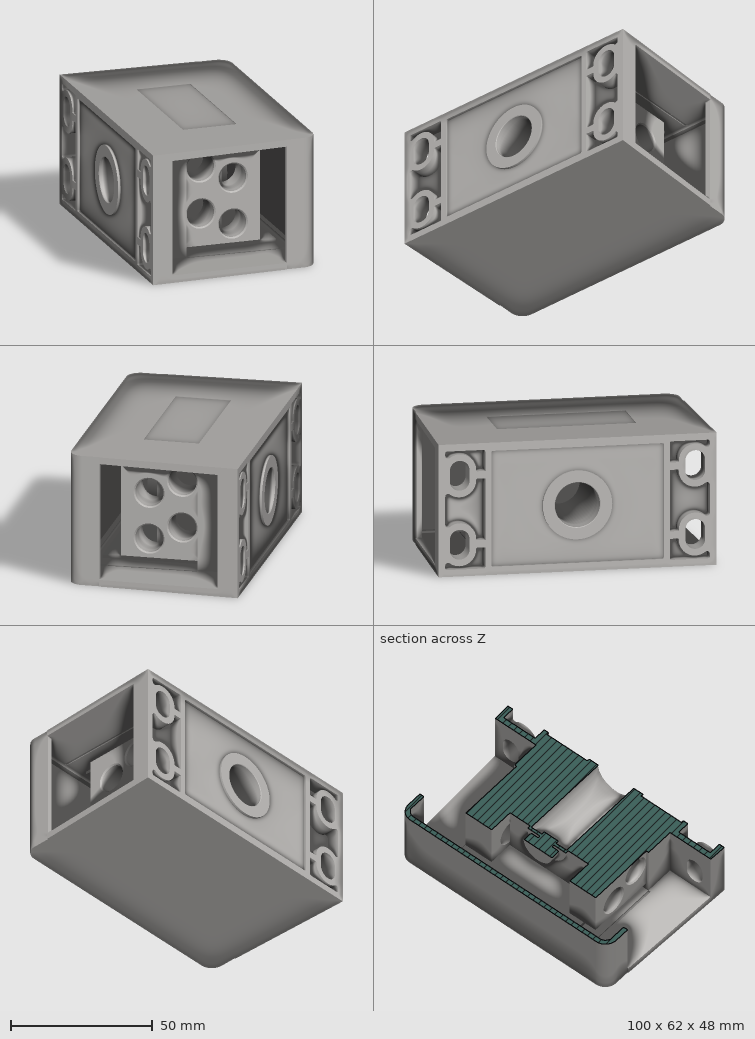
import cadquery as cq

LENGTH = 100.0
DEPTH = 62.0
HEIGHT = 48.0
FRONT_Y = -DEPTH / 2
BACK_Y = DEPTH / 2
CHAMFER_ANGLE = 45.0

COVER_HALF = 48.0
COVER_WALL = 2.0
COVER_RADIUS = 5.0
COVER_START_Y = 19.6
BODY_BACK_HALF = 48.3

WALL = 2.4
CHAMBER_HALF_HEIGHT = HEIGHT / 2 - WALL
END_FLOOR_Y = -23.7
END_FLOOR_HALF_HEIGHT = 21.2
COVER_LEDGE_Y = 27.2
COVER_LEDGE_RADIUS = 0.7
PEDESTAL_HALF = 31.0
PEDESTAL_Y = -11.9
GROOVE_WIDTH = 1.0
GROOVE_DEPTH = 0.3
GROOVE_END_Y = COVER_LEDGE_Y - COVER_LEDGE_RADIUS

WEDGE_HALF = 23.6
WEDGE_TOP_Y = 24.2
WEDGE_TOP_Z = 20.5

BLOCK_HALF = 30.0
BLOCK_HALF_HEIGHT = 18.0
BLOCK_TOP_Y = 15.9
PARTING_Y = 5.8
WIRE_DEPTH = 12.0
WIRE_RADIUS = 5.1
WIRE_CHAMFER = 0.5
WIRE_HOLES = [(PARTING_Y, 6.0), (PARTING_Y, -11.0), (-6.2, 11.0), (-6.2, -6.0)]

SEAT_RADIUS = 8.9
SEAT_HEIGHT = 1.3
SCREW_RADIUS = 3.3
SCREW_HEAD_RADIUS = 6.5
SCREW_HEAD_GAP = 0.8
SCREW_HEAD_CHAMFER = 0.4
SCREW_HEAD_HEIGHT = 4.0
ACCESS_RADIUS = 8.1
ACCESS_CHAMFER = 0.2

PANEL_LENGTH = 62.0
PANEL_HEIGHT = 42.0
PANEL_RADIUS = 0.6
PANEL_RECESS = 1.0
RING_RADIUS = 12.5

SLOT_X = 42.4
SLOT_Z = 12.5
SLOT_LENGTH = 10.8
SLOT_WIDTH = 7.1
SLOT_WALL = 2.4
POCKET_INNER_X = 33.2
POCKET_OUTER_X = 47.6
POCKET_HALF_HEIGHT = 21.5
POCKET_DEPTH = 5.0
POCKET_CORNER = 0.6
POCKET_BLEND = 1.0
WEB = 2.7
WEB_BLEND = 0.4
SELECT_MARGIN = 0.1

LABEL_LENGTH = 50.0
LABEL_WIDTH = 20.0
LABEL_Y = -1.1
LABEL_RECESS = 0.2


def block(half_length, y_start, y_end, half_height):
    """Box centred on X and Z, reaching from y_start to y_end."""
    return cq.Workplane("XY").box(
        2 * half_length, y_end - y_start, 2 * half_height
    ).translate((0, (y_start + y_end) / 2, 0))


def cylinder(radius, y_start, y_end):
    """Cylinder on the Y axis, reaching from y_start to y_end."""
    return cq.Workplane("XZ", origin=(0, y_start, 0)).circle(radius).extrude(y_start - y_end)


def front_plane():
    """Plane of the front face; a negative extrusion goes into the part."""
    return cq.Workplane("XZ", origin=(0, FRONT_Y, 0))


def make_housing():
    body = (
        cq.Workplane("XY", origin=(0, 0, -HEIGHT / 2))
        .polyline([
            (-LENGTH / 2, FRONT_Y),
            (LENGTH / 2, FRONT_Y),
            (BODY_BACK_HALF, COVER_START_Y),
            (-BODY_BACK_HALF, COVER_START_Y),
        ])
        .close()
        .extrude(HEIGHT)
    )
    cover = block(COVER_HALF, COVER_START_Y, BACK_Y, HEIGHT / 2)
    cover = cover.edges("|Z and >Y").fillet(COVER_RADIUS)
    return body.union(cover)


def make_chamber():
    """Space inside the housing: a drafted room, open at both ends, and the cover's inside."""
    cover_inner_half = COVER_HALF - COVER_WALL
    cover_space = block(
        cover_inner_half, COVER_START_Y, BACK_Y - COVER_WALL, CHAMBER_HALF_HEIGHT - COVER_LEDGE_RADIUS
    )
    cover_space = cover_space.edges("|Z and >Y").fillet(COVER_RADIUS - COVER_WALL)
    room = (
        cq.Workplane("YZ", origin=(-LENGTH / 2, 0, 0))
        .polyline([
            (END_FLOOR_Y, -END_FLOOR_HALF_HEIGHT),
            (COVER_LEDGE_Y, -CHAMBER_HALF_HEIGHT),
            (COVER_LEDGE_Y, CHAMBER_HALF_HEIGHT),
            (END_FLOOR_Y, END_FLOOR_HALF_HEIGHT),
        ])
        .close()
        .extrude(LENGTH)
        .edges("|X and >Y")
        .fillet(COVER_LEDGE_RADIUS)
    )
    open_reach = block(LENGTH / 2, END_FLOOR_Y, COVER_START_Y, HEIGHT / 2)
    cover_reach = block(cover_inner_half, END_FLOOR_Y, COVER_LEDGE_Y, HEIGHT / 2)
    room = room.intersect(open_reach.union(cover_reach))
    pedestal = block(PEDESTAL_HALF, END_FLOOR_Y, PEDESTAL_Y, CHAMBER_HALF_HEIGHT)
    return room.cut(pedestal).union(cover_space)


def make_wall_grooves():
    """Shallow grooves in the chamber walls, running on from the pedestal's ends."""
    grooved = block(
        PEDESTAL_HALF + GROOVE_WIDTH, PEDESTAL_Y, GROOVE_END_Y, CHAMBER_HALF_HEIGHT + GROOVE_DEPTH
    )
    return grooved.cut(block(PEDESTAL_HALF, PEDESTAL_Y, GROOVE_END_Y, HEIGHT / 2))


def make_wedges():
    """Wedges that thin out from the pedestal towards the cover."""
    lower = (
        cq.Workplane("YZ", origin=(-WEDGE_HALF, 0, 0))
        .polyline([
            (PEDESTAL_Y, -CHAMBER_HALF_HEIGHT),
            (PEDESTAL_Y, -BLOCK_HALF_HEIGHT),
            (WEDGE_TOP_Y, -WEDGE_TOP_Z),
            (WEDGE_TOP_Y, -CHAMBER_HALF_HEIGHT),
        ])
        .close()
        .extrude(2 * WEDGE_HALF)
    )
    return lower.union(lower.mirror("XY"))


def make_clamp_block():
    """Block with wire holes from both ends, its middle lowered to the parting plane."""
    clamp = block(BLOCK_HALF, PEDESTAL_Y, BLOCK_TOP_Y, BLOCK_HALF_HEIGHT)
    clamp = clamp.cut(block(BLOCK_HALF - WIRE_DEPTH, PARTING_Y, BLOCK_TOP_Y, BLOCK_HALF_HEIGHT))
    wire_holes = (
        cq.Workplane("YZ", origin=(-BLOCK_HALF, 0, 0))
        .pushPoints(WIRE_HOLES)
        .circle(WIRE_RADIUS)
        .extrude(WIRE_DEPTH)
    )
    entries = (
        cq.Workplane("YZ", origin=(-BLOCK_HALF, 0, 0))
        .pushPoints(WIRE_HOLES)
        .circle(WIRE_RADIUS + WIRE_CHAMFER)
        .extrude(WIRE_CHAMFER, taper=CHAMFER_ANGLE)
    )
    wires = wire_holes.union(entries)
    return clamp.cut(wires).cut(wires.mirror("YZ"))


def make_screw_seat():
    return cylinder(SEAT_RADIUS, PARTING_Y, PARTING_Y + SEAT_HEIGHT)


def make_access_hole():
    hole = cylinder(ACCESS_RADIUS, FRONT_Y, PARTING_Y)
    mouth = (
        front_plane()
        .circle(ACCESS_RADIUS + ACCESS_CHAMFER)
        .extrude(-ACCESS_CHAMFER, taper=CHAMFER_ANGLE)
    )
    return hole.union(mouth)


def make_screw():
    head_y = PARTING_Y + SEAT_HEIGHT + SCREW_HEAD_GAP
    shank = cylinder(SCREW_RADIUS, PARTING_Y - SEAT_HEIGHT, head_y)
    head = cylinder(SCREW_HEAD_RADIUS, head_y, head_y + SCREW_HEAD_HEIGHT)
    return shank.union(head.edges("<Y").chamfer(SCREW_HEAD_CHAMFER))


def make_panel_recess():
    recess = front_plane().rect(PANEL_LENGTH, PANEL_HEIGHT).extrude(-PANEL_RECESS)
    recess = recess.edges("|Y").fillet(PANEL_RADIUS)
    return recess.cut(cylinder(RING_RADIUS, FRONT_Y, FRONT_Y + PANEL_RECESS))


def slot_prism(x, grow, depth):
    """Upright slots above and below the middle, widened by grow on every side."""
    return (
        front_plane()
        .pushPoints([(x, SLOT_Z), (x, -SLOT_Z)])
        .slot2D(SLOT_LENGTH + 2 * grow, SLOT_WIDTH + 2 * grow, 90)
        .extrude(-depth)
    )


def corners_at(x, z, reach):
    """Selector for the pocket corners on the line at x, within reach of the heights z and -z."""
    upper, lower = [
        cq.selectors.BoxSelector(
            (x - SELECT_MARGIN, FRONT_Y, height - reach - SELECT_MARGIN),
            (x + SELECT_MARGIN, FRONT_Y + POCKET_DEPTH, height + reach + SELECT_MARGIN),
        )
        for height in (z, -z)
    ]
    return upper + lower


def make_left_pockets():
    """Relief pockets of the left end, leaving a wall and a web around each slot."""
    width = POCKET_OUTER_X - POCKET_INNER_X
    pocket_x = -(POCKET_OUTER_X + POCKET_INNER_X) / 2
    pockets = (
        front_plane()
        .center(pocket_x, 0)
        .rect(width, 2 * POCKET_HALF_HEIGHT)
        .extrude(-POCKET_DEPTH)
        .edges("|Y")
        .fillet(POCKET_CORNER)
    )
    web_length = SLOT_X - POCKET_INNER_X
    webs = (
        front_plane()
        .pushPoints([(-SLOT_X + web_length / 2, z) for z in (SLOT_Z, -SLOT_Z)])
        .rect(web_length, WEB)
        .extrude(-POCKET_DEPTH)
    )
    pockets = pockets.cut(slot_prism(-SLOT_X, SLOT_WALL, POCKET_DEPTH)).cut(webs)
    web_tip_x = -SLOT_X + SLOT_WIDTH / 2 + SLOT_WALL
    pockets = pockets.edges(corners_at(web_tip_x, SLOT_Z, WEB / 2)).fillet(WEB_BLEND)
    return pockets.edges(corners_at(-POCKET_OUTER_X, SLOT_Z, SLOT_LENGTH / 2)).fillet(POCKET_BLEND)


def make_label_recess():
    return (
        cq.Workplane("XY", origin=(0, LABEL_Y, HEIGHT / 2))
        .rect(LABEL_LENGTH, LABEL_WIDTH)
        .extrude(-LABEL_RECESS)
    )


left_pockets = make_left_pockets()
slot_depth = END_FLOOR_Y - FRONT_Y

result = (
    make_housing()
    .cut(make_chamber())
    .cut(make_wall_grooves())
    .union(make_wedges())
    .union(make_clamp_block())
    .cut(make_access_hole())
    .union(make_screw_seat())
    .union(make_screw())
    .cut(make_panel_recess())
    .cut(left_pockets)
    .cut(left_pockets.mirror("YZ"))
    .cut(slot_prism(-SLOT_X, 0, slot_depth))
    .cut(slot_prism(SLOT_X, 0, slot_depth))
    .cut(make_label_recess())
)